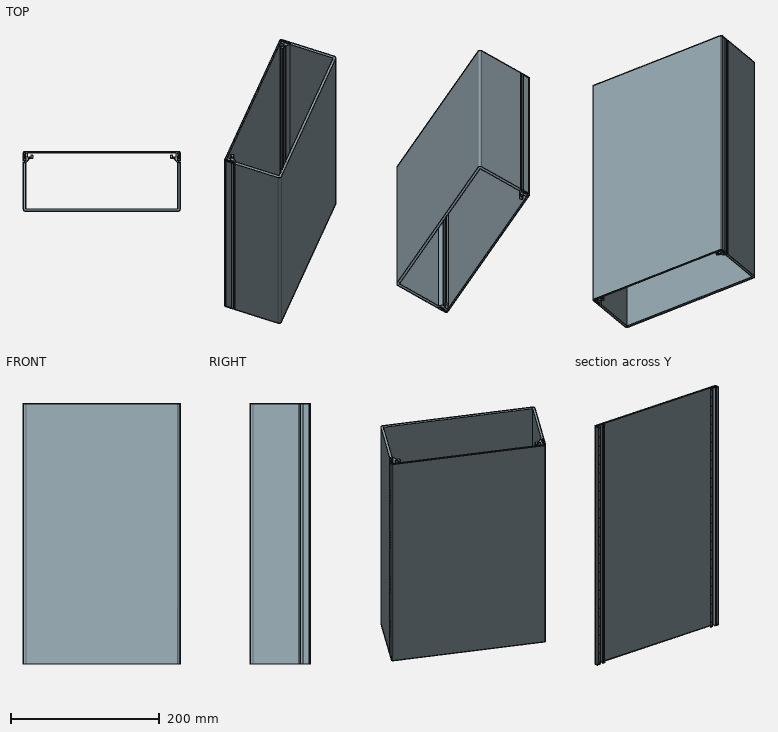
import cadquery as cq

WIDTH = 211.0
DEPTH = 81.0
LENGTH = 350.0
HALF_WIDTH = WIDTH / 2
LID_FACE_Y = DEPTH / 2
BASE_Y = -DEPTH / 2

WALL = 3.5
CORNER_RADIUS = 3.5
SHOULDER_DROP = 15.0
SHOULDER_WIDTH = 1.0
CLIP_OUTER = 3.5
CLIP_INNER = 6.0
CATCH_INSET = 2.5
CATCH_TOP_DROP = 5.0
CATCH_LOW_DROP = 6.0
CATCH_END_DROP = 7.0
CLIP_FOOT_DROP = 12.2
BEND_DROP = 15.5
ARM_TOP_DROP = 7.5
ARM_LOW_DROP = 9.5
ARM_ROOT_INSET = 7.7
ARM_ROOT_DROP = 11.0
TIP_START_INSET = 10.0
TIP_END_INSET = 13.3
TIP_DROP = 5.0
TIP_CHAMFER = 1.0

LID_THICKNESS = 2.0
LID_RADIUS = 2.0
SKIRT_THICKNESS = 1.0
SKIRT_DROP = 13.3
SKIRT_END_WIDTH = 1.0
BARB_INSET = 1.8
BARB_TOP_DROP = 7.5
SLOT_END_DROP = 10.0
BARB_LOW_DROP = 11.5


def section_points(left_side):
    """Place (inset, drop) points on the left, then mirror them to the right."""
    left = [(inset - HALF_WIDTH, LID_FACE_Y - drop) for inset, drop in left_side]
    right = [(-x, y) for x, y in reversed(left)]
    return left + right


def extrude_section(left_side):
    return cq.Workplane("XY").polyline(section_points(left_side)).close().extrude(LENGTH)


def make_channel():
    """U channel with a catch and an inward hook along each open edge."""
    left_side = [
        (0, DEPTH),
        (0, SHOULDER_DROP),
        (SHOULDER_WIDTH, SHOULDER_DROP),
        (CLIP_OUTER, CLIP_FOOT_DROP),
        (CLIP_OUTER, CATCH_END_DROP),
        (CATCH_INSET, CATCH_LOW_DROP),
        (CATCH_INSET, CATCH_TOP_DROP),
        (CLIP_OUTER, LID_THICKNESS),
        (CLIP_INNER, LID_THICKNESS),
        (CLIP_INNER, ARM_TOP_DROP),
        (TIP_START_INSET, ARM_TOP_DROP),
        (TIP_START_INSET, TIP_DROP),
        (TIP_END_INSET - TIP_CHAMFER, TIP_DROP),
        (TIP_END_INSET, TIP_DROP + TIP_CHAMFER),
        (TIP_END_INSET, ARM_LOW_DROP - TIP_CHAMFER),
        (TIP_END_INSET - TIP_CHAMFER, ARM_LOW_DROP),
        (ARM_ROOT_INSET, ARM_LOW_DROP),
        (ARM_ROOT_INSET, ARM_ROOT_DROP),
        (WALL, BEND_DROP),
        (WALL, DEPTH - WALL),
    ]
    channel = extrude_section(left_side)
    base_corners = cq.selectors.BoxSelector(
        (-WIDTH, BASE_Y - WALL / 2, 0), (WIDTH, BASE_Y + WALL / 2, LENGTH)
    )
    return channel.edges("|Z").edges(base_corners).fillet(CORNER_RADIUS)


def make_lid():
    """Flat cover with a skirt and an upturned barb down each side."""
    left_side = [
        (0, 0),
        (0, SKIRT_DROP),
        (SKIRT_END_WIDTH, SKIRT_DROP),
        (CLIP_OUTER, BARB_LOW_DROP),
        (CLIP_OUTER, BARB_TOP_DROP),
        (BARB_INSET, BARB_TOP_DROP),
        (BARB_INSET, SLOT_END_DROP),
        (SKIRT_THICKNESS, SLOT_END_DROP),
        (SKIRT_THICKNESS, LID_THICKNESS),
    ]
    return extrude_section(left_side).edges("|Z and >Y").fillet(LID_RADIUS)


channel = make_channel()
lid = make_lid()
result = cq.Compound.makeCompound([channel.val(), lid.val()])